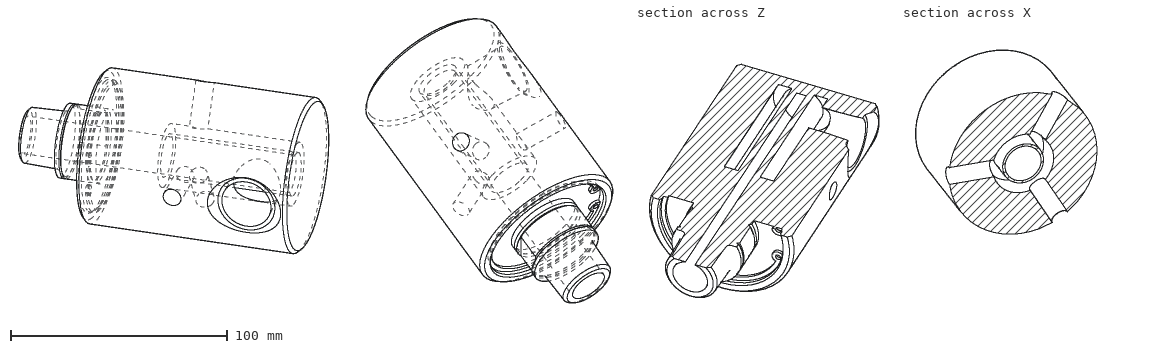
import cadquery as cq
import math

total_length = 135.6
body_start = 34.6
body_radius = 36.5
body_chamfer = 1.6

nose_tip_radius = 11.7
nose_chamfer = 1.4
nose_end = 17.2
taper_slope = 1 / 32
nose_front_radius = 26.2 / 2
nose_back_radius = nose_front_radius + taper_slope * (nose_end - nose_chamfer)
nose_fillet = 1.6

shoulder_start = nose_end + nose_fillet
shoulder_radius = 17.5
groove_radius = 33.0 / 2
front_groove_width = 1.0
back_groove_width = 1.9
front_groove_start = 21.0
back_groove_start = 34.3
grooves = ((front_groove_start, front_groove_width), (back_groove_start, back_groove_width))
flat_offset = 15.0

recess_radius = 62.1 / 2
recess_chamfer = 0.7
recess_chamfer_depth = 1.2
ring_front = 37.4
cover_face = 38.8
ring_thickness = cover_face - ring_front
ring_inner_radius = 29.0
lug_center_radius = 29.1
lug_radius = 3.1
lug_half_spacing = 8.4
lug_hole_diameter = 2.6
lug_y = -math.sqrt(lug_center_radius**2 - lug_half_spacing**2)

bore_diameter = 17.5
bore_end = 127.5
tube_radius = 10.2
chamber_start = 67.8
chamber_end = 129.5
chamber_radius = 14.9

port_x = 115.5
spotface_y = 32.5
port_taper_end_y = 19.0
spotface_radius = 13.7
port_mouth_radius = 23.6 / 2
port_inner_radius = 22.6 / 2
cutter_overrun = 1.4
cutter_end_y = body_radius + cutter_overrun

drain_x = 81.0
drain_diameter = 8.5
drain_count = 3


def disc(start, end, radius):
    """Cylinder on the X axis between two X positions."""
    return cq.Workplane("YZ").workplane(offset=start).circle(radius).extrude(end - start)


def tube(start, end, outer_radius, inner_radius):
    """Hollow cylinder on the X axis between two X positions."""
    return disc(start, end, outer_radius).cut(disc(start, end, inner_radius))


def make_shaft():
    """Nose and shoulder, turned about the X axis and running into the cover."""
    fillet_mid = nose_fillet * math.sqrt(0.5)
    profile = (
        cq.Workplane("XY")
        .lineTo(0, nose_tip_radius)
        .lineTo(nose_chamfer, nose_front_radius)
        .lineTo(nose_end, nose_back_radius)
        .threePointArc(
            (nose_end + fillet_mid, nose_back_radius + nose_fillet - fillet_mid),
            (shoulder_start, nose_back_radius + nose_fillet),
        )
        .lineTo(shoulder_start, shoulder_radius)
        .lineTo(cover_face, shoulder_radius)
        .lineTo(cover_face, 0)
        .close()
    )
    shaft = profile.revolve(360, (0, 0, 0), (1, 0, 0))
    for start, width in grooves:
        groove = cq.Workplane("XY").polyline(
            [
                (start, shoulder_radius),
                (start + width / 2, groove_radius),
                (start + width, shoulder_radius),
            ]
        )
        shaft = shaft.cut(groove.close().revolve(360, (0, 0, 0), (1, 0, 0)))
    flat_start = front_groove_start + front_groove_width / 2
    flat_cutter = cq.Workplane("XY").box(
        back_groove_start - flat_start, shoulder_radius, 2 * shoulder_radius, centered=(False, False, True)
    )
    return shaft.cut(flat_cutter.translate((flat_start, flat_offset, 0)))


def make_housing():
    """Chamfered cylinder with the front recess."""
    housing = disc(body_start, total_length, body_radius).faces("<X or >X").chamfer(body_chamfer)
    recess = disc(body_start, cover_face, recess_radius)
    mouth = (
        cq.Workplane("YZ")
        .workplane(offset=body_start)
        .circle(recess_radius + recess_chamfer)
        .workplane(offset=recess_chamfer_depth)
        .circle(recess_radius)
        .loft()
    )
    return housing.cut(recess).cut(mouth)


def make_snap_ring():
    """Open ring with two drilled lugs on the -Y side."""
    ring = tube(ring_front, cover_face, recess_radius, ring_inner_radius)
    gap = cq.Workplane("XY").box(ring_thickness, recess_radius, 2 * lug_half_spacing, centered=(False, False, True))
    ring = ring.cut(gap.translate((ring_front, -recess_radius, 0)))
    lug_points = [(lug_y, -lug_half_spacing), (lug_y, lug_half_spacing)]
    lug_plane = cq.Workplane("YZ").workplane(offset=ring_front).pushPoints(lug_points)
    lugs = lug_plane.circle(lug_radius).extrude(ring_thickness)
    lugs = lugs.intersect(disc(ring_front, cover_face, recess_radius))
    lug_holes = lug_plane.circle(lug_hole_diameter / 2).extrude(ring_thickness)
    return ring.union(lugs).cut(lug_holes)


def make_port_cutter():
    """Bore with a tapered mouth and a 45 degree spotface, turned about the port axis along -Y."""
    spotface_outer_radius = spotface_radius + cutter_end_y - spotface_y
    profile = (
        cq.Workplane("XY")
        .lineTo(port_inner_radius, 0)
        .lineTo(port_inner_radius, -port_taper_end_y)
        .lineTo(port_mouth_radius, -spotface_y)
        .lineTo(spotface_radius, -spotface_y)
        .lineTo(spotface_outer_radius, -cutter_end_y)
        .lineTo(0, -cutter_end_y)
        .close()
    )
    return profile.revolve(360, (0, 0, 0), (0, 1, 0)).translate((port_x, 0, 0))


def make_drain_cutters():
    """Radial holes evenly spaced round the housing, the first on the -Y side."""
    hole = cq.Workplane("XZ").center(drain_x, 0).circle(drain_diameter / 2).extrude(cutter_end_y)
    cutters = hole
    for index in range(1, drain_count):
        cutters = cutters.union(hole.rotate((0, 0, 0), (1, 0, 0), index * 360 / drain_count))
    return cutters


inner_tube = disc(chamber_start, chamber_end, tube_radius)
chamber = disc(chamber_start, chamber_end, chamber_radius)

result = (
    make_housing()
    .union(make_shaft())
    .union(make_snap_ring())
    .cut(chamber)
    .cut(make_port_cutter())
    .cut(make_drain_cutters())
    .union(inner_tube)
    .cut(disc(0, bore_end, bore_diameter / 2))
)